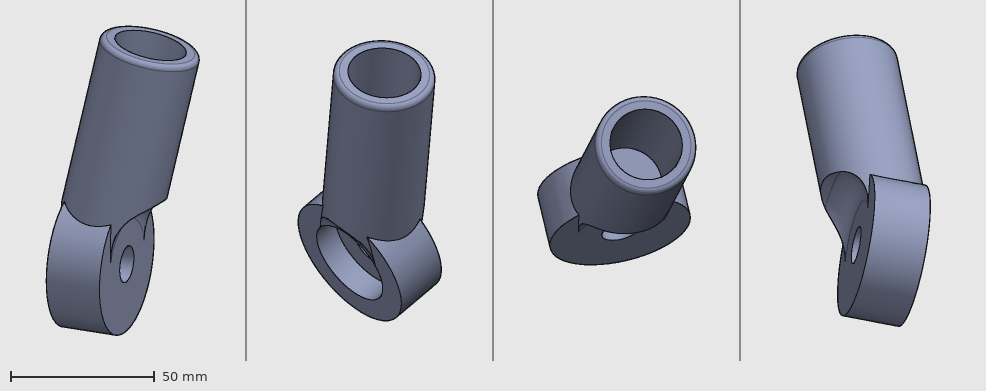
import cadquery as cq
import math

RING_DIAMETER = 50.0
RING_WIDTH = 20.0
PIN_HOLE_DIAMETER = 13.0
COUNTERBORE_DIAMETER = 32.0
COUNTERBORE_DEPTH = 9.5

TUBE_DIAMETER = 35.4
TUBE_LENGTH = 81.9
TUBE_TILT = 12.4
TUBE_HEADING = 27.2
TUBE_RIM_FILLET = 2.0
BORE_DIAMETER = 25.4
BORE_DEPTH = 51.5

RELIEF_FILLET = 9.0
RELIEF_REACH = 30.0

RING_RADIUS = RING_DIAMETER / 2
FACE_X = RING_WIDTH / 2


def x_cylinder(diameter, start_x, length):
    """Cylinder on the ring axis, running from start_x toward +X."""
    return cq.Workplane("YZ", origin=(start_x, 0, 0)).circle(diameter / 2).extrude(length)


def tube_plane():
    """Plane at the ring centre whose normal is the tube axis."""
    tilt = math.radians(TUBE_TILT)
    heading = math.radians(TUBE_HEADING)
    axis = (
        math.sin(tilt) * math.cos(heading),
        math.sin(tilt) * math.sin(heading),
        math.cos(tilt),
    )
    return cq.Plane(origin=(0, 0, 0), xDir=(axis[2], 0, -axis[0]), normal=axis)


def make_tube():
    """Solid tube body with a rounded top rim."""
    tube = cq.Workplane(tube_plane()).circle(TUBE_DIAMETER / 2).extrude(TUBE_LENGTH)
    top_rim = tube.faces(">Z").edges()
    return top_rim.fillet(TUBE_RIM_FILLET)


def make_bore():
    """Blind bore running down from the top of the tube."""
    bore_floor = cq.Workplane(tube_plane()).workplane(offset=TUBE_LENGTH - BORE_DEPTH)
    return bore_floor.circle(BORE_DIAMETER / 2).extrude(BORE_DEPTH)


def make_relief():
    """Disc beyond the +X ring face whose inner corner is rounded concavely."""
    arc_centre_x = FACE_X + RELIEF_FILLET
    arc_centre_r = RING_RADIUS - RELIEF_FILLET
    arc_offset = RELIEF_FILLET * math.sqrt(0.5)
    profile = (
        cq.Workplane("XZ")
        .moveTo(FACE_X, 0)
        .lineTo(FACE_X, arc_centre_r)
        .threePointArc(
            (arc_centre_x - arc_offset, arc_centre_r + arc_offset),
            (arc_centre_x, RING_RADIUS),
        )
        .lineTo(FACE_X + RELIEF_REACH, RING_RADIUS)
        .lineTo(FACE_X + RELIEF_REACH, 0)
        .close()
    )
    return profile.revolve(360, (0, 0, 0), (1, 0, 0))


ring = x_cylinder(RING_DIAMETER, -FACE_X, RING_WIDTH)
relief = make_relief()
trimmed_tube = make_tube().cut(relief).cut(relief.mirror("YZ"))

pin_hole = x_cylinder(PIN_HOLE_DIAMETER, -FACE_X, RING_WIDTH)
counterbore = x_cylinder(COUNTERBORE_DIAMETER, -FACE_X, COUNTERBORE_DEPTH)

result = ring.union(trimmed_tube).cut(make_bore()).cut(pin_hole).cut(counterbore)